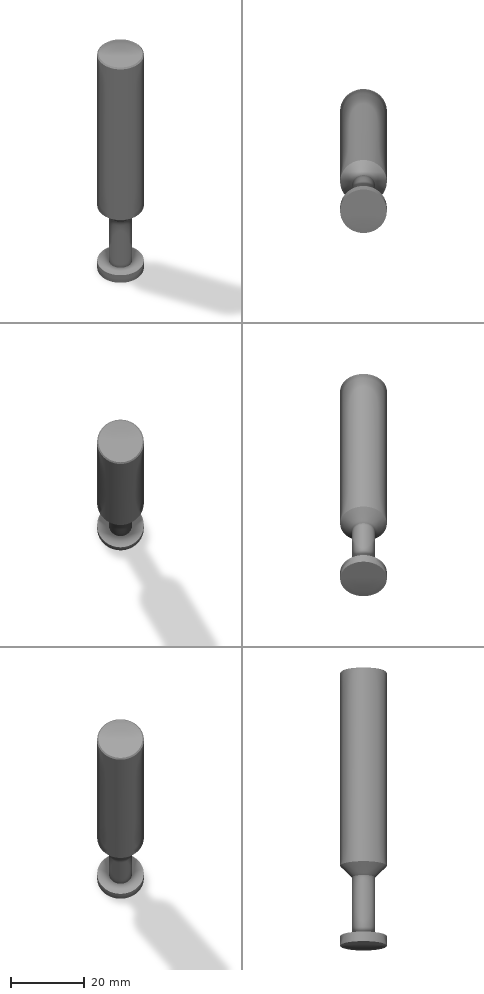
import cadquery as cq

total_length = 76.2
body_diameter = 12.7
neck_diameter = 6.3

flange_thickness = 2.7
body_start = 22.25

top_chamfer = 0.4

body_radius = body_diameter / 2
neck_radius = neck_diameter / 2

shoulder_height = body_radius - neck_radius
neck_top = body_start - shoulder_height

profile = (
    cq.Workplane("XZ")
    .moveTo(0, 0)
    .lineTo(body_radius, 0)
    .lineTo(body_radius, flange_thickness)
    .lineTo(neck_radius, flange_thickness)
    .lineTo(neck_radius, neck_top)
    .lineTo(body_radius, body_start)
    .lineTo(body_radius, total_length - top_chamfer)
    .lineTo(body_radius - top_chamfer, total_length)
    .lineTo(0, total_length)
    .close()
)

result = profile.revolve(360, (0, 0, 0), (0, 1, 0))